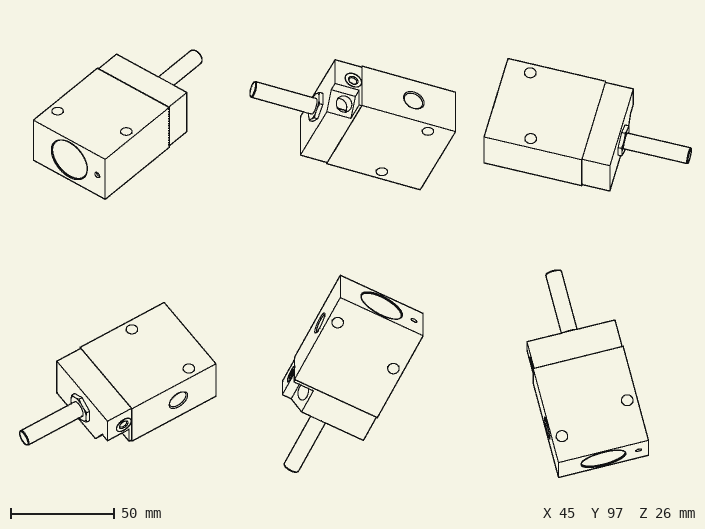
import cadquery as cq
import math


body_width = 45.0
body_length = 49.0
body_height = 26.0

cap_width = 44.0
cap_length = 14.0
cap_height = 25.4
cap_end = body_length + cap_length

nut_across_flats = 13.0
nut_thickness = 2.0
nut_chamfer_run = 0.9
nut_chamfer_rise = 0.4
rod_diameter = 8.0
rod_tip_chamfer_length = 0.5
rod_tip_chamfer_width = 0.3
rod_end = 97.0

mount_diameter = 5.5
mount_offset = 17.6
left_mount_y = 12.5
right_mount_y = 22.1

recess_diameter = 21.7
recess_depth = 0.6
recess_chamfer = 0.4
vent_diameter = 3.0
vent_depth = 1.2
vent_x = 17.6

port_diameter = 9.6
port_end_diameter = 9.0
port_mouth_diameter = 10.8
port_depth = 9.7
port_y = 21.9
drill_point_angle = 118.0

spotface_diameter = 8.5
spotface_depth = 0.2
small_port_diameter = 4.0
small_port_mouth_diameter = 4.9
small_port_depth = 3.9
small_port_y = 53.35
small_port_z = 2.6

slope_angle = 30.0
slope_top_z = -3.0
slope_setback = 4.85
slope_front_y = 50.3
socket_diameter = 8.0
socket_depth = 6.6
socket_y = 55.2
socket_z = -7.5
socket_step_depth = 0.8
socket_step_offset = -1.1


def block(width, height, start_y, length):
    """Box centred on the Y axis that starts at start_y."""
    return cq.Workplane("XY").box(width, length, height).translate((0, start_y + length / 2, 0))


def cylinder(diameter, length, start, direction):
    """Cylinder that runs from a start point along a direction."""
    solid = cq.Solid.makeCylinder(diameter / 2, length, cq.Vector(*start), cq.Vector(*direction))
    return cq.Workplane(obj=solid)


def cone(start_diameter, end_diameter, length, start, direction):
    """Cone frustum that runs from a start point along a direction."""
    solid = cq.Solid.makeCone(
        start_diameter / 2, end_diameter / 2, length, cq.Vector(*start), cq.Vector(*direction)
    )
    return cq.Workplane(obj=solid)


def nut():
    """Hex nut with corners up and down and its rear corners turned off."""
    hex_sides = 6
    corner_diameter = nut_across_flats / math.cos(math.pi / hex_sides)
    hexagon = (
        cq.Workplane("XY")
        .polygon(hex_sides, corner_diameter)
        .extrude(nut_thickness)
        .rotate((0, 0, 0), (0, 0, 1), 90)
    )
    turned = (
        cq.Workplane("XY")
        .circle(corner_diameter / 2)
        .extrude(nut_thickness)
        .faces(">Z")
        .chamfer(nut_chamfer_rise, nut_chamfer_run)
    )
    return hexagon.intersect(turned).rotate((0, 0, 0), (1, 0, 0), -90).translate((0, cap_end, 0))


def rod():
    """Rod rising from the cap, with a chamfered tip."""
    straight = cylinder(rod_diameter, rod_end - cap_end, (0, cap_end, 0), (0, 1, 0))
    return straight.faces(">Y").chamfer(rod_tip_chamfer_length, rod_tip_chamfer_width)


def mount_holes():
    """Two upright holes through the full height of the body."""
    bottom_z = -body_height / 2
    left = cylinder(mount_diameter, body_height, (-mount_offset, left_mount_y, bottom_z), (0, 0, 1))
    right = cylinder(mount_diameter, body_height, (mount_offset, right_mount_y, bottom_z), (0, 0, 1))
    return left.union(right)


def front_recess():
    """Shallow round recess with a chamfered rim."""
    mouth_diameter = recess_diameter + 2 * recess_chamfer
    recess = cylinder(recess_diameter, recess_depth, (0, 0, 0), (0, 1, 0))
    mouth = cone(mouth_diameter, recess_diameter, recess_chamfer, (0, 0, 0), (0, 1, 0))
    return recess.union(mouth)


def main_port():
    """Countersunk port with a tapered bore that ends in a drill point."""
    side_x = -body_width / 2
    point_length = port_end_diameter / 2 / math.tan(math.radians(drill_point_angle / 2))
    mouth_depth = (port_mouth_diameter - port_diameter) / 2
    bore = cone(port_diameter, port_end_diameter, port_depth, (side_x, port_y, 0), (1, 0, 0))
    point = cone(port_end_diameter, 0, point_length, (side_x + port_depth, port_y, 0), (1, 0, 0))
    mouth = cone(port_mouth_diameter, port_diameter, mouth_depth, (side_x, port_y, 0), (1, 0, 0))
    return bore.union(point).union(mouth)


def small_port():
    """Shallow spotface with a countersunk flat-bottomed hole."""
    face = (-cap_width / 2, small_port_y, small_port_z)
    floor = (face[0] + spotface_depth, small_port_y, small_port_z)
    mouth_depth = (small_port_mouth_diameter - small_port_diameter) / 2
    spotface = cylinder(spotface_diameter, spotface_depth, face, (1, 0, 0))
    bore = cylinder(small_port_diameter, small_port_depth, floor, (1, 0, 0))
    mouth = cone(small_port_mouth_diameter, small_port_diameter, mouth_depth, floor, (1, 0, 0))
    return spotface.union(bore).union(mouth)


def slope_x(z):
    """X position of the sloped face at height z."""
    return -cap_width / 2 + slope_setback + (slope_top_z - z) * math.tan(math.radians(slope_angle))


def connector_slope():
    """Notch in the lower left edge of the cap with a level ceiling and a sloped wall, open at the rear."""
    bottom_z = -cap_height / 2
    left_x = -cap_width / 2
    return (
        cq.Workplane("XZ", origin=(0, slope_front_y, 0))
        .polyline(
            [
                (left_x, slope_top_z),
                (slope_x(slope_top_z), slope_top_z),
                (slope_x(bottom_z), bottom_z),
                (left_x, bottom_z),
            ]
        )
        .close()
        .extrude(slope_front_y - cap_end)
    )


def connector_socket():
    """Flat-bottomed hole square to the slope, with the upper part of its floor one step deeper."""
    angle = math.radians(slope_angle)
    mouth_plane = cq.Plane(
        origin=(slope_x(socket_z), socket_y, socket_z),
        xDir=(0, 1, 0),
        normal=(math.cos(angle), 0, math.sin(angle)),
    )
    full_depth = socket_depth + socket_step_depth
    socket = cq.Workplane(mouth_plane).circle(socket_diameter / 2).extrude(full_depth)
    lower_floor = (
        cq.Workplane(mouth_plane)
        .workplane(offset=socket_depth)
        .center(0, socket_step_offset - socket_diameter / 2)
        .rect(socket_diameter, socket_diameter)
        .extrude(socket_step_depth)
    )
    return socket.cut(lower_floor)


body = block(body_width, body_height, 0, body_length)
body = body.cut(mount_holes()).cut(front_recess()).cut(main_port())
body = body.cut(cylinder(vent_diameter, vent_depth, (vent_x, 0, 0), (0, 1, 0)))

cap = block(cap_width, cap_height, body_length, cap_length)
cap = cap.cut(small_port()).cut(connector_slope()).cut(connector_socket())

result = body.union(cap).union(nut()).union(rod())